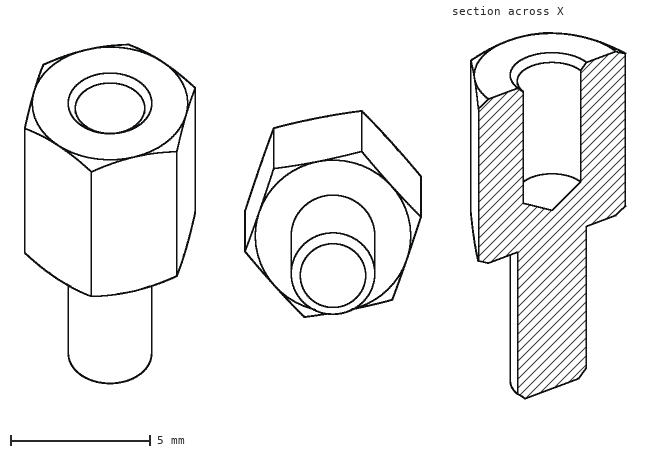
import cadquery as cq
import math

across_flats = 5.58
across_corners = across_flats / math.cos(math.radians(30))
overall_height = 13.36
body_height = 7.0
corner_chamfer_angle = 30.0

stud_diameter = 3.0
stud_length = overall_height - body_height
tip_chamfer_height = 0.32
tip_diameter = 2.35

hole_diameter = 2.5
hole_depth = 5.0
countersink_diameter = 3.0
countersink_depth = (countersink_diameter - hole_diameter) / 2
drill_point_angle = 118.0


def revolve_profile(points):
    """Revolve a closed (radius, height) outline about the Z axis."""
    return cq.Workplane("XZ").polyline(points).close().revolve(360, (0, 0), (0, 1))


def make_body():
    """Hexagonal prism with conical corner chamfers at both ends; its base is at Z = 0."""
    prism = cq.Workplane("XY").polygon(6, across_corners).extrude(body_height)
    prism = prism.rotate((0, 0, 0), (0, 0, 1), 30)
    flat_radius = across_flats / 2
    corner_radius = across_corners / 2
    corner_drop = (corner_radius - flat_radius) * math.tan(math.radians(corner_chamfer_angle))
    envelope = revolve_profile([
        (0, 0),
        (flat_radius, 0),
        (corner_radius, corner_drop),
        (corner_radius, body_height - corner_drop),
        (flat_radius, body_height),
        (0, body_height),
    ])
    return prism.intersect(envelope)


def make_stud():
    """Cylindrical stud with a chamfered tip, hanging below Z = 0."""
    stud_radius = stud_diameter / 2
    return revolve_profile([
        (0, 0),
        (stud_radius, 0),
        (stud_radius, tip_chamfer_height - stud_length),
        (tip_diameter / 2, -stud_length),
        (0, -stud_length),
    ])


def make_hole():
    """Countersunk blind hole with a conical drill point."""
    hole_radius = hole_diameter / 2
    hole_bottom = body_height - hole_depth
    point_depth = hole_radius / math.tan(math.radians(drill_point_angle / 2))
    return revolve_profile([
        (0, body_height),
        (countersink_diameter / 2, body_height),
        (hole_radius, body_height - countersink_depth),
        (hole_radius, hole_bottom),
        (0, hole_bottom - point_depth),
    ])


result = make_body().union(make_stud()).cut(make_hole())